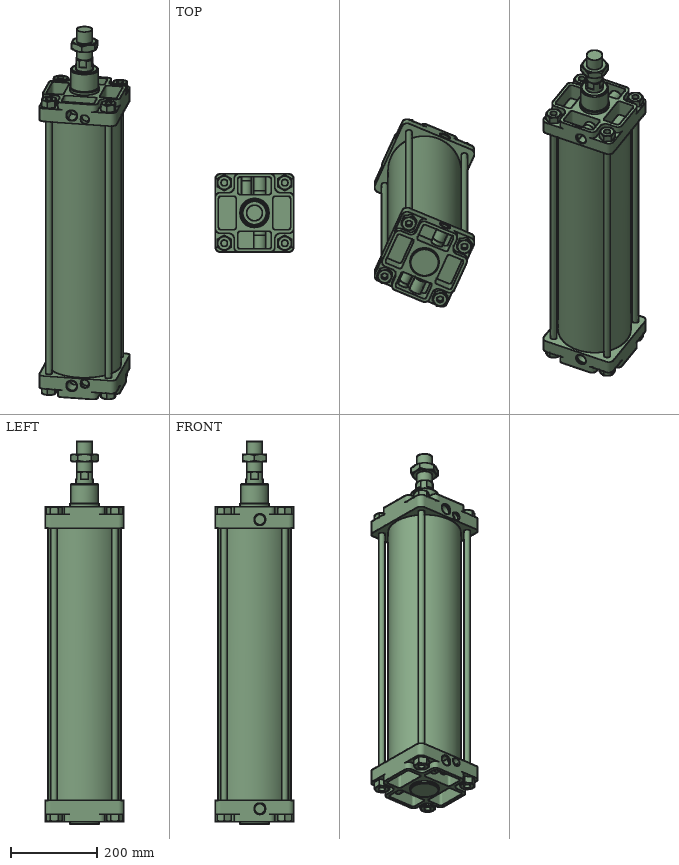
import cadquery as cq
import math

total_length = 888.0
cap_width = 182.0
cap_height = 50.0
end_collar_height = 6.0
rear_cap_bottom = end_collar_height
front_cap_top = 737.0
front_cap_bottom = front_cap_top - cap_height
mid_height = (rear_cap_bottom + front_cap_top) / 2

cap_corner_radius = 12.0
notch_edge = 47.0
notch_depth = 18.0
notch_inner_radius = 13.0
arm_corner_radius = 11.5
pocket_length = 77.0
pocket_width = 41.0
pocket_offset = 63.0
pocket_depth = 41.0
pocket_corner_radius = 5.0

port_x = 12.0
port_below_face = 30.0
port_diameter = 24.0
port_chamfer = 1.3
port_depth = 39.0
port_boss_diameter = 28.0

cushion_x = -19.0
cushion_below_face = 37.0
cushion_diameter = 20.0
cushion_depth = 16.0
cushion_boss_diameter = 24.0

tube_diameter = 170.0
tie_rod_diameter = 15.0
tie_rod_offset = 70.0
head_corner_diameter = 36.0
head_bevel_diameter = 31.0
head_height = 17.0
socket_diameter = 15.0
socket_depth = 13.0

collar_diameter = 67.5
collar_height = 8.0
collar_chamfer = 2.0
gland_diameter = 64.0
gland_top = 790.0
gland_chamfer = 3.0

rod_diameter = 40.0
thread_diameter = 36.0
shoulder_z = 818.0
flat_bottom_z = 800.0
flats_width = 36.0

nut_bottom_z = 841.0
nut_height = 18.0
nut_corner_diameter = 64.0
nut_bevel_diameter = 54.0
bevel_angle = math.radians(30)


def cylinder(diameter, bottom, height):
    """Vertical cylinder on the axis."""
    return cq.Workplane("XY").workplane(offset=bottom).circle(diameter / 2).extrude(height)


def hexagon(corner_diameter, height):
    """Hexagonal prism standing on Z = 0 with two corners on the Y axis."""
    return cq.Workplane("XY").polygon(6, corner_diameter).extrude(height).rotate((0, 0, 0), (0, 0, 1), 90)


def bevel_cone(top_diameter, corner_diameter, height):
    """Solid of revolution whose cone trims the top corners of a hexagon."""
    drop = (corner_diameter - top_diameter) / 2 * math.tan(bevel_angle)
    return (
        cq.Workplane("XZ")
        .polyline([(0, 0), (corner_diameter / 2, 0), (corner_diameter / 2, height - drop),
                   (top_diameter / 2, height), (0, height)])
        .close()
        .revolve(360, (0, 0), (0, 1))
    )


def corner_places(offset):
    """The four tie-rod positions around the axis."""
    return [(sx * offset, sy * offset) for sx in (-1, 1) for sy in (-1, 1)]


def pocket_cutter(angle):
    """Pocket on the +Y side of the cap top, turned about the axis."""
    return (
        cq.Workplane("XY")
        .workplane(offset=front_cap_top - pocket_depth)
        .center(0, pocket_offset)
        .rect(pocket_length, pocket_width)
        .extrude(pocket_depth)
        .edges("|Z")
        .fillet(pocket_corner_radius)
        .rotate((0, 0, 0), (0, 0, 1), angle)
    )


def cross_boss(x, z, diameter):
    """Round boss that bridges the +Y pocket from wall to wall."""
    return (
        cq.Workplane("XZ", origin=(x, pocket_offset + pocket_width / 2, z))
        .circle(diameter / 2)
        .extrude(pocket_width)
    )


def side_hole(x, z, diameter, depth):
    """Blind hole drilled inward from the +Y face."""
    return cq.Workplane("XZ", origin=(x, cap_width / 2, z)).circle(diameter / 2).extrude(depth)


def make_port(z):
    """Port hole in the +Y face with a chamfered mouth."""
    mouth_radius = port_diameter / 2 + port_chamfer
    mouth = (
        cq.Workplane("XZ", origin=(port_x, cap_width / 2, z))
        .circle(mouth_radius)
        .extrude(mouth_radius, taper=45)
    )
    return side_hole(port_x, z, port_diameter, port_depth).union(mouth)


def cap_block():
    """Square cap with rounded corners and a notch at each corner of its outer face."""
    block = (
        cq.Workplane("XY")
        .workplane(offset=front_cap_bottom)
        .rect(cap_width, cap_width)
        .extrude(cap_height)
        .edges("|Z")
        .fillet(cap_corner_radius)
    )
    arm_width = 2 * notch_edge
    cross = cq.Workplane("XY").rect(arm_width, cap_width).extrude(notch_depth)
    cross = cross.union(cq.Workplane("XY").rect(cap_width, arm_width).extrude(notch_depth))
    cross = cross.edges("|Z and (not (>X or <X or >Y or <Y))").fillet(notch_inner_radius)
    for side in ("<X", ">X", "<Y", ">Y"):
        cross = cross.faces(side).edges("|Z").fillet(arm_corner_radius)
    notch_layer = (
        cq.Workplane("XY").rect(cap_width, cap_width).extrude(notch_depth)
        .cut(cross)
        .translate((0, 0, front_cap_top - notch_depth))
    )
    return block.cut(notch_layer)


def bolt_head():
    """Hexagonal head with a bevelled top and a round socket, standing on Z = 0."""
    head = hexagon(head_corner_diameter, head_height)
    head = head.intersect(bevel_cone(head_bevel_diameter, head_corner_diameter, head_height))
    return head.faces(">Z").workplane().hole(socket_diameter, socket_depth)


def make_cap():
    """Front end cap with pockets, ports, cushion hole and bolt heads."""
    port_z = front_cap_top - port_below_face
    cushion_z = front_cap_top - cushion_below_face
    cap = cap_block()
    for angle in (0, 90, 180, 270):
        cap = cap.cut(pocket_cutter(angle))
    port_boss = cross_boss(port_x, port_z, port_boss_diameter)
    port = make_port(port_z)
    cap = cap.union(port_boss).union(port_boss.mirror("XZ"))
    cap = cap.union(cross_boss(cushion_x, cushion_z, cushion_boss_diameter))
    cap = cap.cut(port).cut(port.mirror("XZ"))
    cap = cap.cut(side_hole(cushion_x, cushion_z, cushion_diameter, cushion_depth))
    head = bolt_head()
    for x, y in corner_places(tie_rod_offset):
        cap = cap.union(head.translate((x, y, front_cap_top - notch_depth)))
    return cap


def make_housing():
    """Both caps, tube, tie rods, rear collar and gland, bored for the piston rod."""
    front_cap = make_cap()
    rear_cap = front_cap.mirror("XY", (0, 0, mid_height))
    rear_cap_top = rear_cap_bottom + cap_height
    span = front_cap_bottom - rear_cap_top
    housing = front_cap.union(rear_cap).union(cylinder(tube_diameter, rear_cap_top, span))
    for x, y in corner_places(tie_rod_offset):
        housing = housing.union(cylinder(tie_rod_diameter, rear_cap_top, span).translate((x, y, 0)))
    rear_collar = cylinder(collar_diameter, 0, end_collar_height).faces("<Z").chamfer(collar_chamfer)
    front_collar = cylinder(collar_diameter, front_cap_top, collar_height)
    front_collar = front_collar.faces(">Z").chamfer(collar_chamfer)
    gland = cylinder(gland_diameter, front_cap_top, gland_top - front_cap_top)
    gland = gland.faces(">Z").chamfer(gland_chamfer)
    housing = housing.union(rear_collar).union(front_collar).union(gland)
    return housing.cut(cylinder(rod_diameter, front_cap_bottom, gland_top - front_cap_bottom))


def make_rod():
    """Piston rod with four wrench flats below a thinner threaded end."""
    shoulder_chamfer = (rod_diameter - thread_diameter) / 2
    rod = cylinder(rod_diameter, front_cap_bottom, shoulder_z - front_cap_bottom)
    flats_height = shoulder_z - flat_bottom_z
    square = cq.Workplane("XY").workplane(offset=flat_bottom_z).rect(flats_width, flats_width)
    square = square.extrude(flats_height)
    flat_cutter = cylinder(rod_diameter, flat_bottom_z, flats_height).cut(square)
    rod = rod.faces(">Z").chamfer(shoulder_chamfer).cut(flat_cutter)
    return rod.union(cylinder(thread_diameter, shoulder_z, total_length - shoulder_z))


def make_nut():
    """Hexagonal lock nut bevelled on both faces."""
    cone = bevel_cone(nut_bevel_diameter, nut_corner_diameter, nut_height)
    nut = hexagon(nut_corner_diameter, nut_height)
    nut = nut.intersect(cone).intersect(cone.mirror("XY", (0, 0, nut_height / 2)))
    return nut.translate((0, 0, nut_bottom_z)).cut(cylinder(thread_diameter, nut_bottom_z, nut_height))


housing = make_housing()
rod = make_rod()
nut = make_nut()
result = cq.Compound.makeCompound([housing.solids().val(), rod.solids().val(), nut.solids().val()])